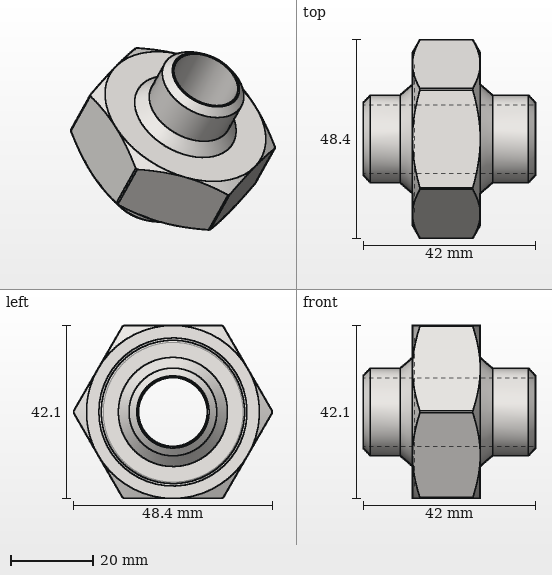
import cadquery as cq
import math

overall_length = 42.0
across_flats = 42.1
across_corners = 48.35

hex_start = -9.0
hex_end = 7.5
corner_chamfer_angle = 30.0

stub_radius = 10.7
bore_radius = 8.35
end_wall = 0.45
bevel_length = 1.8
shoulder_radius = 13.3
shoulder_length = 3.0

gap_outer_radius = 18.05
gap_inner_radius = 17.45
gap_depth = 0.5
insert_fillet = 0.45

tip = overall_length / 2
hex_length = hex_end - hex_start
hex_corner = across_flats / math.sqrt(3)


def make_hexagon():
    """Hexagon along X with flats on top and bottom and both ends corner-chamfered."""
    prism = (
        cq.Workplane("YZ", origin=(hex_start, 0, 0))
        .polygon(6, 2 * hex_corner)
        .extrude(hex_length)
    )
    flat_radius = across_flats / 2
    corner_radius = across_corners / 2
    chamfer = (corner_radius - flat_radius) * math.tan(math.radians(corner_chamfer_angle))
    turned_blank = (
        cq.Workplane("XY")
        .moveTo(hex_start, 0)
        .lineTo(hex_start, flat_radius)
        .lineTo(hex_start + chamfer, corner_radius)
        .lineTo(hex_end - chamfer, corner_radius)
        .lineTo(hex_end, flat_radius)
        .lineTo(hex_end, 0)
        .close()
        .revolve(360, (0, 0, 0), (1, 0, 0))
    )
    return prism.intersect(turned_blank)


def make_stubs():
    """Both bevelled stubs and their conical shoulders as one turned shaft."""
    tip_radius = bore_radius + end_wall
    return (
        cq.Workplane("XY")
        .moveTo(-tip, 0)
        .lineTo(-tip, tip_radius)
        .lineTo(-tip + bevel_length, stub_radius)
        .lineTo(hex_start - shoulder_length, stub_radius)
        .lineTo(hex_start, shoulder_radius)
        .lineTo(hex_end, shoulder_radius)
        .lineTo(hex_end + shoulder_length, stub_radius)
        .lineTo(tip - bevel_length, stub_radius)
        .lineTo(tip, tip_radius)
        .lineTo(tip, 0)
        .close()
        .revolve(360, (0, 0, 0), (1, 0, 0))
    )


def make_insert_gap():
    """Ring-shaped cut whose inner rim rounds over the edge of the insert."""
    round_middle = insert_fillet * (1 - math.sqrt(0.5))
    return (
        cq.Workplane("XY")
        .moveTo(hex_start, gap_outer_radius)
        .lineTo(hex_start + gap_depth, gap_outer_radius)
        .lineTo(hex_start + gap_depth, gap_inner_radius)
        .lineTo(hex_start + insert_fillet, gap_inner_radius)
        .threePointArc(
            (hex_start + round_middle, gap_inner_radius - round_middle),
            (hex_start, gap_inner_radius - insert_fillet),
        )
        .close()
        .revolve(360, (0, 0, 0), (1, 0, 0))
    )


bore = cq.Workplane("YZ", origin=(-tip, 0, 0)).circle(bore_radius).extrude(overall_length)

result = make_hexagon().union(make_stubs()).cut(make_insert_gap()).cut(bore)